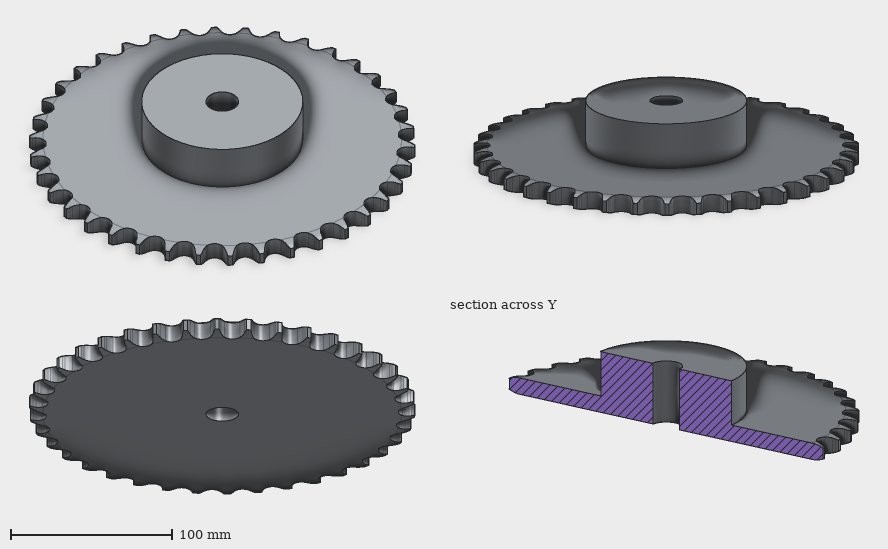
import cadquery as cq
import math

tooth_count = 38
tip_diameter = 239.0
pitch_diameter = 230.6
root_diameter = 218.5
seat_end_angle = 36.6
working_radius = 15.8
working_sweep = 16.5
flank_straight = 1.72
topping_radius = 9.8
topping_sweep = 25.0
plate_thickness = 11.0
relief_radius = 19.1
relief_start_diameter = 222.3
hub_diameter = 100.0
bore_diameter = 20.0
total_height = 40.0

tip_radius = tip_diameter / 2
pitch_radius = pitch_diameter / 2
root_radius = root_diameter / 2
seat_radius = pitch_radius - root_radius
relief_start_radius = relief_start_diameter / 2
tooth_pitch_angle = 360 / tooth_count


def make_blank():
    """Revolved disc whose two faces curve toward each other at the rim."""
    relief_width = tip_radius - relief_start_radius

    def relief_drop(distance):
        return relief_radius - math.sqrt(relief_radius**2 - distance**2)

    rim_drop = relief_drop(relief_width)
    middle_drop = relief_drop(relief_width / 2)
    middle_radius = relief_start_radius + relief_width / 2
    profile = (
        cq.Workplane("XZ")
        .lineTo(relief_start_radius, 0)
        .threePointArc((middle_radius, middle_drop), (tip_radius, rim_drop))
        .lineTo(tip_radius, plate_thickness - rim_drop)
        .threePointArc(
            (middle_radius, plate_thickness - middle_drop),
            (relief_start_radius, plate_thickness),
        )
        .lineTo(0, plate_thickness)
        .close()
    )
    return profile.revolve(360, (0, 0, 0), (0, 1, 0))


def polar_offset(center, radius, angle):
    """Point at a radius and angle (degrees) from a center."""
    radians = math.radians(angle)
    return (
        center[0] + radius * math.cos(radians),
        center[1] + radius * math.sin(radians),
    )


def mirrored(point):
    """Matching point on the other side of the gap centreline."""
    return (point[0], -point[1])


def make_gap_cutter():
    """Gap along +X: roller seat, then tangent concave, straight and convex flanks."""
    seat_angle = 90 + seat_end_angle
    flank_angle = seat_angle - working_sweep
    tip_angle = flank_angle + topping_sweep

    seat_center = (pitch_radius, 0)
    seat_end = polar_offset(seat_center, seat_radius, seat_angle)

    working_center = polar_offset(seat_end, -working_radius, seat_angle)
    working_middle = polar_offset(working_center, working_radius, (seat_angle + flank_angle) / 2)
    working_end = polar_offset(working_center, working_radius, flank_angle)

    straight_end = polar_offset(working_end, flank_straight, flank_angle - 90)

    topping_center = polar_offset(straight_end, topping_radius, flank_angle)
    topping_middle = polar_offset(topping_center, -topping_radius, (flank_angle + tip_angle) / 2)
    topping_end = polar_offset(topping_center, -topping_radius, tip_angle)

    return (
        cq.Workplane("XY")
        .moveTo(*topping_end)
        .threePointArc(topping_middle, straight_end)
        .lineTo(*working_end)
        .threePointArc(working_middle, seat_end)
        .threePointArc((root_radius, 0), mirrored(seat_end))
        .threePointArc(mirrored(working_middle), mirrored(working_end))
        .lineTo(*mirrored(straight_end))
        .threePointArc(mirrored(topping_middle), mirrored(topping_end))
        .close()
        .extrude(plate_thickness)
    )


def cut_teeth(blank):
    """Cut the gaps so that a tooth is centred on +X."""
    gap = make_gap_cutter()
    toothed = blank
    for index in range(tooth_count):
        gap_angle = (index + 0.5) * tooth_pitch_angle
        toothed = toothed.cut(gap.rotate((0, 0, 0), (0, 0, 1), gap_angle))
    return toothed


hub = cq.Workplane("XY").circle(hub_diameter / 2).extrude(total_height)
bore = cq.Workplane("XY").circle(bore_diameter / 2).extrude(total_height)

result = cut_teeth(make_blank()).union(hub).cut(bore)